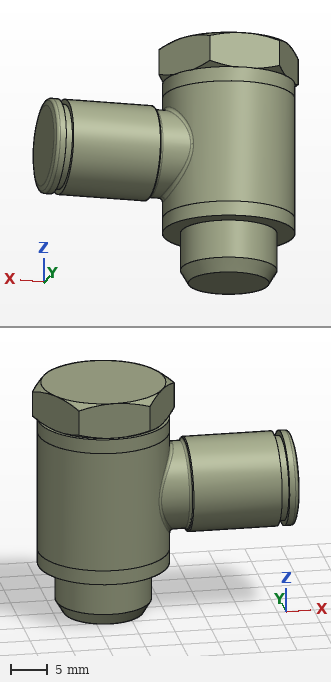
import cadquery as cq
import math


STEM_DIAMETER = 13.15
STEM_TIP_DIAMETER = 11.0
STEM_TIP_TAPER_HEIGHT = 1.8
STEM_EXPOSED_LENGTH = 7.02
HEX_HEIGHT = 5.0
HEX_ACROSS_FLATS = 16.97
HEX_ACROSS_CORNERS = HEX_ACROSS_FLATS / math.cos(math.radians(30))
HEX_CHAMFER_ANGLE = 30.0

BARREL_DIAMETER = 18.0
BARREL_HEIGHT = 16.97
RING_HEIGHT = 2.0

NECK_DIAMETER = 12.0
NECK_ROOT_FILLET = 0.5
SLEEVE_DIAMETER = 13.0
SLEEVE_EDGE_CHAMFER = 0.15
SHOULDER_X = 11.17
SHOULDER_FILLET = (SLEEVE_DIAMETER - NECK_DIAMETER) / 2 - SLEEVE_EDGE_CHAMFER
SLEEVE_END_X = 23.5

COLLAR_NECK_DIAMETER = 11.6
COLLAR_NECK_LENGTH = 1.05
COLLAR_FACE_DIAMETER = 11.0
COLLAR_EDGE_RADIUS = 0.45
COLLAR_CONE_ANGLE = 17.0

LOWER_RING_Z = STEM_EXPOSED_LENGTH
BARREL_Z = LOWER_RING_Z + RING_HEIGHT
UPPER_RING_Z = BARREL_Z + BARREL_HEIGHT
HEX_Z = UPPER_RING_Z + RING_HEIGHT
OUTLET_Z = BARREL_Z + BARREL_HEIGHT / 2
OVERALL_LENGTH = 35.8
COLLAR_FACE_X = OVERALL_LENGTH - HEX_ACROSS_CORNERS / 2


def revolve_about_outlet(profile):
    """Revolve an XZ profile, drawn around z = 0, about the outlet axis."""
    return profile.close().revolve(360, (0, 0, 0), (1, 0, 0)).translate((0, 0, OUTLET_Z))


def make_hex_head():
    """Hexagon whose corners are trimmed by a cone at both ends."""
    hexagon = cq.Workplane("XY").workplane(offset=HEX_Z).polygon(6, HEX_ACROSS_CORNERS).extrude(HEX_HEIGHT)
    face_radius = HEX_ACROSS_FLATS / 2
    corner_radius = HEX_ACROSS_CORNERS / 2
    drop = (corner_radius - face_radius) * math.tan(math.radians(HEX_CHAMFER_ANGLE))
    top = HEX_Z + HEX_HEIGHT
    envelope = (
        cq.Workplane("XZ")
        .moveTo(0, HEX_Z)
        .lineTo(face_radius, HEX_Z)
        .lineTo(corner_radius, HEX_Z + drop)
        .lineTo(corner_radius, top - drop)
        .lineTo(face_radius, top)
        .lineTo(0, top)
        .close()
        .revolve(360, (0, 0, 0), (0, 1, 0))
    )
    return hexagon.intersect(envelope)


def make_bolt():
    """Hex-headed bolt with a tapered tip."""
    tip_inset = (STEM_DIAMETER - STEM_TIP_DIAMETER) / 2
    stem = (
        cq.Workplane("XY")
        .circle(STEM_DIAMETER / 2)
        .extrude(HEX_Z)
        .faces("<Z")
        .chamfer(STEM_TIP_TAPER_HEIGHT, tip_inset)
    )
    return stem.union(make_hex_head())


def make_ring(base_z):
    """Sealing ring around the bolt stem."""
    return (
        cq.Workplane("XY")
        .workplane(offset=base_z)
        .circle(BARREL_DIAMETER / 2)
        .circle(STEM_DIAMETER / 2)
        .extrude(RING_HEIGHT)
    )


def make_sleeve():
    """Outlet sleeve with a filleted shoulder at the neck and a small edge chamfer."""
    neck_radius = NECK_DIAMETER / 2
    sleeve_radius = SLEEVE_DIAMETER / 2
    fillet_start_x = SHOULDER_X - SHOULDER_FILLET
    arc_inset = SHOULDER_FILLET * math.sin(math.radians(45))
    arc_middle = (fillet_start_x + arc_inset, neck_radius + SHOULDER_FILLET - arc_inset)
    profile = (
        cq.Workplane("XZ")
        .moveTo(fillet_start_x, 0)
        .lineTo(fillet_start_x, neck_radius)
        .threePointArc(arc_middle, (SHOULDER_X, neck_radius + SHOULDER_FILLET))
        .lineTo(SHOULDER_X + SLEEVE_EDGE_CHAMFER, sleeve_radius)
        .lineTo(SLEEVE_END_X, sleeve_radius)
        .lineTo(SLEEVE_END_X, 0)
    )
    return revolve_about_outlet(profile)


def make_housing():
    """Barrel bored for the bolt stem, with the outlet neck and sleeve."""
    barrel = cq.Workplane("XY").workplane(offset=BARREL_Z).circle(BARREL_DIAMETER / 2).extrude(BARREL_HEIGHT)
    neck_length = SHOULDER_X - SHOULDER_FILLET
    neck = cq.Workplane("YZ").center(0, OUTLET_Z).circle(NECK_DIAMETER / 2).extrude(neck_length)
    body = barrel.union(neck).edges("not(%LINE or %CIRCLE)").fillet(NECK_ROOT_FILLET)
    bore = cq.Workplane("XY").workplane(offset=BARREL_Z).circle(STEM_DIAMETER / 2).extrude(BARREL_HEIGHT)
    return body.union(make_sleeve()).cut(bore)


def make_collar():
    """Release collar: narrow neck, then a flange with a rounded edge and a conical front."""
    flange_radius = SLEEVE_DIAMETER / 2
    face_radius = COLLAR_FACE_DIAMETER / 2
    flange_x = SLEEVE_END_X + COLLAR_NECK_LENGTH
    cone_angle = math.radians(COLLAR_CONE_ANGLE)
    arc_centre_radius = flange_radius - COLLAR_EDGE_RADIUS
    cone_radius = arc_centre_radius + COLLAR_EDGE_RADIUS * math.sin(cone_angle)
    cone_x = COLLAR_FACE_X - (cone_radius - face_radius) * math.tan(cone_angle)
    arc_centre_x = cone_x - COLLAR_EDGE_RADIUS * math.cos(cone_angle)
    middle_angle = (math.pi / 2 + cone_angle) / 2
    arc_middle = (
        arc_centre_x + COLLAR_EDGE_RADIUS * math.cos(middle_angle),
        arc_centre_radius + COLLAR_EDGE_RADIUS * math.sin(middle_angle),
    )
    profile = (
        cq.Workplane("XZ")
        .moveTo(SLEEVE_END_X, 0)
        .lineTo(SLEEVE_END_X, COLLAR_NECK_DIAMETER / 2)
        .lineTo(flange_x, COLLAR_NECK_DIAMETER / 2)
        .lineTo(flange_x, flange_radius)
        .lineTo(arc_centre_x, flange_radius)
        .threePointArc(arc_middle, (cone_x, cone_radius))
        .lineTo(COLLAR_FACE_X, face_radius)
        .lineTo(COLLAR_FACE_X, 0)
    )
    return revolve_about_outlet(profile)


bolt = make_bolt()
housing = make_housing()
sealing_rings = [make_ring(base_z) for base_z in (LOWER_RING_Z, UPPER_RING_Z)]
collar = make_collar()

result = cq.Compound.makeCompound(
    [bolt.solids().val(), housing.solids().val(), *[ring.val() for ring in sealing_rings], collar.val()]
)